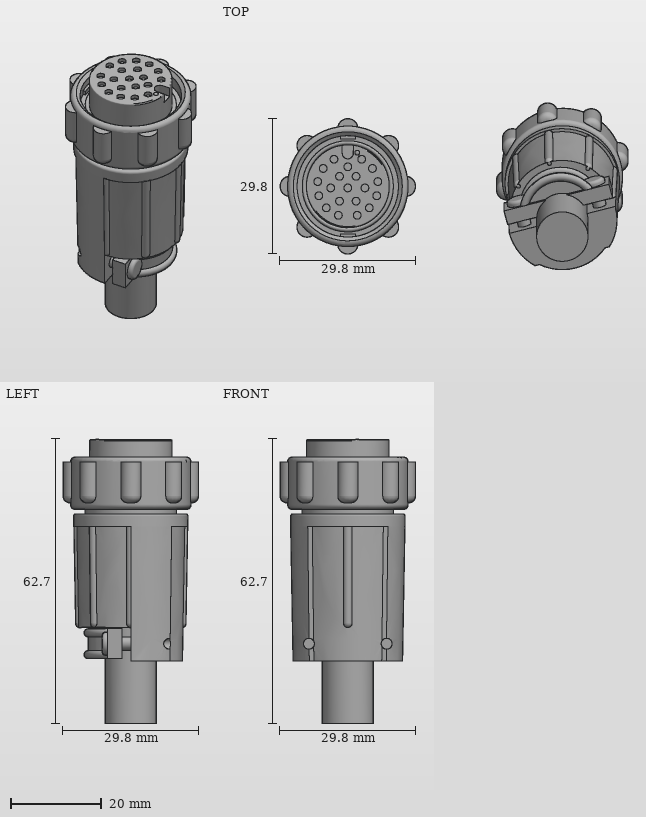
import cadquery as cq
import math

SHELL_BOTTOM_Z = 13.75
REAR_HALF_BOTTOM_Z = 21.2
RING_BOTTOM_Z = 43.4
RING_TOP_Z = 46.2
NUT_BOTTOM_Z = 47.15
NUT_TOP_Z = 58.7
NUT_FLOOR_Z = 55.3
INSERT_TOP_Z = 62.5
OVERALL_HEIGHT = 62.66

CABLE_RADIUS = 5.65
COLLAR_RADIUS = 10.1
INSERT_RADIUS = 9.12
INSERT_EDGE_FILLET = 0.25
SEAL_OUTER_RADIUS = 10.04
CONTACT_DIAMETER = 1.7
CONTACT_DEPTH = 0.85
OUTER_CONTACT_RADIUS = 6.7
OUTER_CONTACTS_PER_SIDE = 6
OUTER_CONTACT_PITCH = 27.0
FIRST_OUTER_CONTACT_ANGLE = -72.0
INNER_CONTACTS = [
    (0, 4.3),
    (-1.82, 2.2), (1.82, 2.2),
    (-3.77, -0.35), (0, -0.35), (3.77, -0.35),
    (-1.82, -3.25), (1.82, -3.25),
]
KEYWAY_WIDTH = 2.45
KEYWAY_INNER_Y = 6.05
KEYWAY_DEPTH = 2.3
MARK_RADIUS = 0.53
MARK_POSITION = (2.07, 7.4)

NUT_RADIUS = 13.27
NUT_FILLET = 1.05
NUT_RIM_RADIUS = 12.0
NUT_RIM_CHAMFER = 0.15
NUT_BORE_RADIUS = 11.15
NUT_BORE_TOP_Z = 58.0
GRIP_COUNT = 8
GRIP_OUTER_RADIUS = 14.92
GRIP_RADIUS = 2.25
GRIP_BOTTOM_Z = 48.6
GRIP_TOP_Z = NUT_TOP_Z - NUT_FILLET
GRIP_END_FILLET = 1.5
DETENT_HALF_WIDTH = 1.65
DETENT_FACE_Y = 10.45
DETENT_HEIGHT = 1.0

RING_RADIUS = 12.6
RING_FILLET = 0.55
PANEL_BOTTOM_RADIUS = 12.07
PANEL_RISE = 0.68
PANEL_EDGE_TOP_Y = -9.0
PANEL_EDGE_BOTTOM_Y = -8.6
RIB_ARC_RADIUS = 1.0
RIB_PROUD = 0.63
RIB_END_Z = 22.1
RIB_ANGLES = [-90, 0, 45, 90, 135, 180]

SCREW_X = 8.55
SCREW_Z = 17.6
SCREW_HOLE_DIAMETER = 2.4
SCREW_HOLE_BOTTOM_Y = -6.0
SCREW_SHANK_DIAMETER = 2.9
SCREW_HEAD_DIAMETER = 5.1
SCREW_HEAD_HEIGHT = 1.2
SCREW_HEAD_FILLET = 0.7
CLAMP_LENGTH = 23.9
CLAMP_HEIGHT = 6.6
CLAMP_INNER_Y = 1.9
CLAMP_OUTER_Y = 5.1
SADDLE_HALF_WIDTH = 7.2
SADDLE_TOP_Y = 9.4
SADDLE_BEAD_RADIUS = 0.9


def cylinder(radius, bottom_z, top_z):
    return cq.Workplane("XY").workplane(offset=bottom_z).circle(radius).extrude(top_z - bottom_z)


def radius_on_taper(top_radius, bottom_radius, z):
    fraction = (z - SHELL_BOTTOM_Z) / (RING_BOTTOM_Z - SHELL_BOTTOM_Z)
    return bottom_radius + fraction * (top_radius - bottom_radius)


def panel_radius(z):
    return radius_on_taper(RING_RADIUS, PANEL_BOTTOM_RADIUS, z)


def core_radius(z):
    return panel_radius(z) - PANEL_RISE


def tapered_body(radius_at, bottom_z):
    profile = [
        (0, bottom_z),
        (radius_at(bottom_z), bottom_z),
        (radius_at(RING_BOTTOM_Z), RING_BOTTOM_Z),
        (0, RING_BOTTOM_Z),
    ]
    return cq.Workplane("XZ").polyline(profile).close().revolve(360, (0, 0), (0, 1))


def side_slab(profile_yz):
    """Prism with the given YZ outline, wide enough to span the whole part along X."""
    return cq.Workplane("YZ").polyline(profile_yz).close().extrude(2 * RING_RADIUS, both=True)


def make_rib(angle):
    """Half-round rib that follows the taper and ends in a ball."""
    arc_offset = RIB_PROUD - RIB_ARC_RADIUS
    end_point = cq.Vector(core_radius(RIB_END_Z) + arc_offset, 0, RIB_END_Z)
    top_point = cq.Vector(core_radius(RING_BOTTOM_Z) + arc_offset, 0, RING_BOTTOM_Z)
    axis = top_point - end_point
    rod = cq.Solid.makeCylinder(RIB_ARC_RADIUS, axis.Length, end_point, axis)
    ball = cq.Workplane("XY").sphere(RIB_ARC_RADIUS).translate(end_point)
    return ball.union(cq.Workplane(rod)).rotate((0, 0, 0), (0, 0, 1), angle)


def make_backshell():
    rear_half = tapered_body(core_radius, REAR_HALF_BOTTOM_Z)
    front_slab = side_slab([
        (0, SHELL_BOTTOM_Z), (0, RING_BOTTOM_Z),
        (-2 * RING_RADIUS, RING_BOTTOM_Z), (-2 * RING_RADIUS, SHELL_BOTTOM_Z),
    ])
    front_half = tapered_body(core_radius, SHELL_BOTTOM_Z).intersect(front_slab)
    panel_slab = side_slab([
        (0, SHELL_BOTTOM_Z), (0, RING_BOTTOM_Z),
        (PANEL_EDGE_TOP_Y, RING_BOTTOM_Z), (PANEL_EDGE_BOTTOM_Y, SHELL_BOTTOM_Z),
    ])
    panels = tapered_body(panel_radius, SHELL_BOTTOM_Z).intersect(panel_slab)
    ring = cylinder(RING_RADIUS, RING_BOTTOM_Z, RING_TOP_Z).faces(">Z").edges().fillet(RING_FILLET)
    shell = rear_half.union(front_half).union(panels).union(ring)
    for angle in RIB_ANGLES:
        shell = shell.union(make_rib(angle))
    return shell


def cylinder_along_y(x, diameter, start_y, end_y):
    disc = cq.Workplane("XZ", origin=(x, start_y, SCREW_Z)).circle(diameter / 2)
    return disc.extrude(start_y - end_y)


def drill_screw_holes(shell):
    for x in (-SCREW_X, SCREW_X):
        shell = shell.cut(cylinder_along_y(x, SCREW_HOLE_DIAMETER, SCREW_HOLE_BOTTOM_Y, -RING_RADIUS))
    return shell


def make_saddle():
    """Arched strap over the cable with a round bead along each edge."""
    arch_start = (-SADDLE_HALF_WIDTH, CLAMP_OUTER_Y)
    arch_top = (0, SADDLE_TOP_Y)
    arch_end = (SADDLE_HALF_WIDTH, CLAMP_OUTER_Y)
    bottom_z = SCREW_Z - CLAMP_HEIGHT / 2
    strap_base = cq.Workplane("XY").workplane(offset=bottom_z + SADDLE_BEAD_RADIUS)
    strap = strap_base.moveTo(*arch_start).threePointArc(arch_top, arch_end).close()
    saddle = strap.extrude(CLAMP_HEIGHT - 2 * SADDLE_BEAD_RADIUS)

    rise = SADDLE_TOP_Y - CLAMP_OUTER_Y
    arch_radius = (SADDLE_HALF_WIDTH**2 + rise**2) / (2 * rise)
    arch_center_y = SADDLE_TOP_Y - arch_radius
    bead_zone = cq.Workplane("XY").box(
        CLAMP_LENGTH, SADDLE_TOP_Y, CLAMP_HEIGHT, centered=(True, False, True)
    ).translate((0, (CLAMP_INNER_Y + CLAMP_OUTER_Y) / 2, SCREW_Z))
    bead_offset = CLAMP_HEIGHT / 2 - SADDLE_BEAD_RADIUS
    for bead_z in (SCREW_Z - bead_offset, SCREW_Z + bead_offset):
        center = cq.Vector(0, arch_center_y, bead_z)
        bead = cq.Solid.makeTorus(arch_radius, SADDLE_BEAD_RADIUS, center, cq.Vector(0, 0, 1))
        saddle = saddle.union(cq.Workplane(bead).intersect(bead_zone))
    return saddle


def make_clamp():
    clamp = cq.Workplane("XY").box(
        CLAMP_LENGTH, CLAMP_OUTER_Y - CLAMP_INNER_Y, CLAMP_HEIGHT
    ).translate((0, (CLAMP_INNER_Y + CLAMP_OUTER_Y) / 2, SCREW_Z))
    clamp = clamp.union(make_saddle())
    head_top_y = CLAMP_OUTER_Y + SCREW_HEAD_HEIGHT
    for x in (-SCREW_X, SCREW_X):
        head = cylinder_along_y(x, SCREW_HEAD_DIAMETER, head_top_y, CLAMP_OUTER_Y)
        head = head.faces(">Y").edges().fillet(SCREW_HEAD_FILLET)
        shank = cylinder_along_y(x, SCREW_SHANK_DIAMETER, CLAMP_INNER_Y, 0)
        clamp = clamp.union(head).union(shank)
    return clamp


def make_nut():
    nut = cylinder(NUT_RADIUS, NUT_BOTTOM_Z, NUT_TOP_Z)
    nut = nut.edges().fillet(NUT_FILLET)
    grip_center = GRIP_OUTER_RADIUS - GRIP_RADIUS
    grip = cylinder(GRIP_RADIUS, GRIP_BOTTOM_Z, GRIP_TOP_Z)
    grip = grip.faces("<Z").edges().fillet(GRIP_END_FILLET).translate((grip_center, 0, 0))
    for index in range(GRIP_COUNT):
        nut = nut.union(grip.rotate((0, 0, 0), (0, 0, 1), index * 360 / GRIP_COUNT))
    mouth_profile = [
        (0, NUT_FLOOR_Z),
        (NUT_BORE_RADIUS, NUT_FLOOR_Z),
        (NUT_BORE_RADIUS, NUT_BORE_TOP_Z),
        (NUT_RIM_RADIUS - NUT_RIM_CHAMFER, NUT_TOP_Z - NUT_RIM_CHAMFER),
        (NUT_RIM_RADIUS, NUT_TOP_Z),
        (0, NUT_TOP_Z),
    ]
    mouth = cq.Workplane("XZ").polyline(mouth_profile).close().revolve(360, (0, 0), (0, 1))
    nut = nut.cut(mouth)
    return nut.union(make_detents())


def make_detents():
    """Two flat-faced bumps on opposite sides of the nut bore."""
    bumps = cq.Workplane("XY")
    depth = NUT_RIM_RADIUS - DETENT_FACE_Y
    for side in (-1, 1):
        center_y = side * (DETENT_FACE_Y + depth / 2)
        bump = cq.Workplane("XY").box(
            2 * DETENT_HALF_WIDTH, depth, DETENT_HEIGHT, centered=(True, True, False)
        ).translate((0, center_y, NUT_FLOOR_Z))
        bumps = bumps.add(bump)
    return bumps.combine()


def contact_points():
    points = list(INNER_CONTACTS)
    for index in range(OUTER_CONTACTS_PER_SIDE):
        angle = math.radians(FIRST_OUTER_CONTACT_ANGLE + index * OUTER_CONTACT_PITCH)
        x = OUTER_CONTACT_RADIUS * math.cos(angle)
        y = OUTER_CONTACT_RADIUS * math.sin(angle)
        points += [(x, y), (-x, y)]
    return points


def make_insert():
    insert = cylinder(INSERT_RADIUS, NUT_FLOOR_Z, INSERT_TOP_Z)
    insert = insert.faces(">Z").edges().fillet(INSERT_EDGE_FILLET)
    top = cq.Workplane("XY").workplane(offset=INSERT_TOP_Z)
    contacts = top.pushPoints(contact_points()).circle(CONTACT_DIAMETER / 2).extrude(-CONTACT_DEPTH)
    insert = insert.cut(contacts)

    keyway_length = INSERT_RADIUS - KEYWAY_INNER_Y + KEYWAY_WIDTH
    keyway_center_y = KEYWAY_INNER_Y + keyway_length / 2
    keyway = top.center(0, keyway_center_y).slot2D(keyway_length, KEYWAY_WIDTH, 90)
    insert = insert.cut(keyway.extrude(-KEYWAY_DEPTH))

    mark_height = OVERALL_HEIGHT - INSERT_TOP_Z
    ball_radius = (MARK_RADIUS**2 + mark_height**2) / (2 * mark_height)
    mark = cq.Workplane("XY").sphere(ball_radius).translate((*MARK_POSITION, OVERALL_HEIGHT - ball_radius))
    return insert.union(mark)


def make_seal():
    """Round-section seal ring around the foot of the insert."""
    section_radius = (SEAL_OUTER_RADIUS - INSERT_RADIUS) / 2
    ring_radius = INSERT_RADIUS + section_radius
    center = cq.Vector(0, 0, NUT_FLOOR_Z)
    ring = cq.Solid.makeTorus(ring_radius, section_radius, center, cq.Vector(0, 0, 1))
    return cq.Workplane(ring)


cable = cylinder(CABLE_RADIUS, 0, RING_BOTTOM_Z)
collar = cylinder(COLLAR_RADIUS, RING_BOTTOM_Z, NUT_FLOOR_Z)
backshell = drill_screw_holes(make_backshell())

result = backshell.union(cable).union(make_clamp())
result = result.union(collar).union(make_nut()).union(make_insert()).union(make_seal())